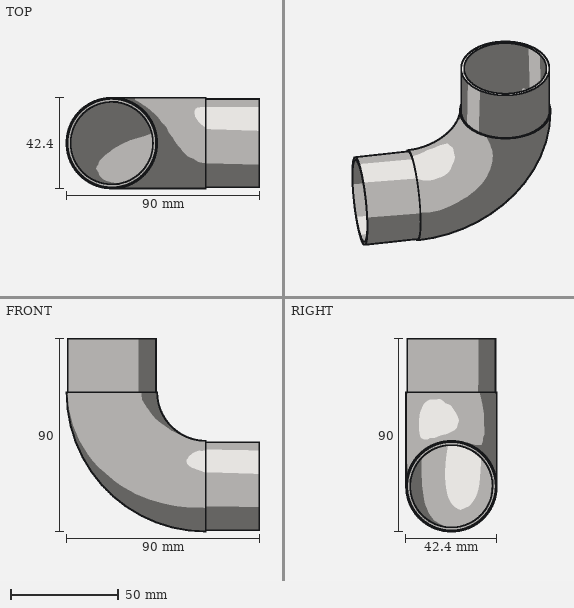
import cadquery as cq

overall_length = 90.0
bend_diameter = 42.4
spigot_diameter = 41.2
bore_diameter = 38.4
spigot_length = 25.0
bend_angle = 90

bend_radius = overall_length - spigot_length - bend_diameter / 2


def quarter_bend(diameter):
    """Solid bend from the vertical axis (at Z = 0) round to the +X axis direction.

    The centre of the bend is at X = bend_radius, Z = 0.
    """
    return (
        cq.Workplane("XY")
        .circle(diameter / 2)
        .revolve(bend_angle, (bend_radius, 0, 0), (bend_radius, -1, 0))
    )


def upper_spigot(diameter):
    """Straight cylinder rising from the upper end of the bend."""
    return cq.Workplane("XY").circle(diameter / 2).extrude(spigot_length)


def side_spigot(diameter):
    """Straight cylinder leaving the lower end of the bend along +X."""
    return (
        cq.Workplane("YZ", origin=(bend_radius, 0, -bend_radius))
        .circle(diameter / 2)
        .extrude(spigot_length)
    )


def elbow_solid(bend_size, spigot_size):
    """Bend with a straight spigot at each end."""
    return (
        quarter_bend(bend_size)
        .union(upper_spigot(spigot_size))
        .union(side_spigot(spigot_size))
    )


body = elbow_solid(bend_diameter, spigot_diameter)
bore = elbow_solid(bore_diameter, bore_diameter)

result = body.cut(bore)